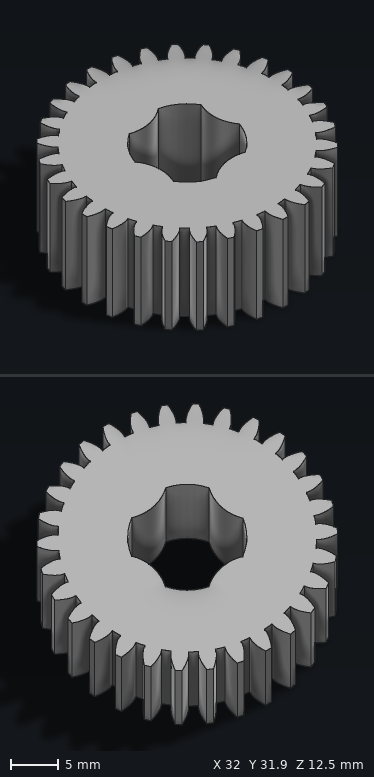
import cadquery as cq
import math

tip_diameter = 32.0
height = 12.5
tooth_count = 30
pressure_angle = math.radians(20)
addendum_factor = 1.0
dedendum_factor = 1.25

bore_radius = 6.35
lobe_count = 4
lobe_clearance = 5.12
lobe_radius = 5.12

module = tip_diameter / (tooth_count + 2 * addendum_factor)
tip_radius = tip_diameter / 2
pitch_radius = module * tooth_count / 2
root_radius = pitch_radius - dedendum_factor * module
base_radius = pitch_radius * math.cos(pressure_angle)
tooth_pitch_angle = 2 * math.pi / tooth_count

flank_steps = 6


def polar(radius, angle):
    return (radius * math.cos(angle), radius * math.sin(angle))


def involute(angle):
    return math.tan(angle) - angle


def tooth_half_angle(radius):
    """Half of the angle a tooth spans at a radius on its involute flank."""
    local_pressure_angle = math.acos(base_radius / radius)
    return tooth_pitch_angle / 4 + involute(pressure_angle) - involute(local_pressure_angle)


def flank_points(center_angle, side):
    """Points up one flank from base to tip; side is -1 (clockwise) or +1."""
    radius_step = (tip_radius - base_radius) / flank_steps
    radii = [base_radius + step * radius_step for step in range(flank_steps + 1)]
    return [polar(radius, center_angle + side * tooth_half_angle(radius)) for radius in radii]


def gear_blank():
    """Spur gear with involute flanks that continue radially below the base circle."""
    root_half_angle = tooth_half_angle(base_radius)
    outline = cq.Workplane("XY").moveTo(*polar(root_radius, -root_half_angle))
    for tooth in range(tooth_count):
        center = tooth * tooth_pitch_angle
        rising = flank_points(center, -1)
        falling = flank_points(center, 1)[::-1]
        next_center = center + tooth_pitch_angle
        outline = (
            outline.lineTo(*rising[0])
            .spline(rising[1:], includeCurrent=True)
            .threePointArc(polar(tip_radius, center), falling[0])
            .spline(falling[1:], includeCurrent=True)
            .lineTo(*polar(root_radius, center + root_half_angle))
            .threePointArc(
                polar(root_radius, center + tooth_pitch_angle / 2),
                polar(root_radius, next_center - root_half_angle),
            )
        )
    return outline.close().extrude(height)


def lobed_bore():
    """Round through bore with convex lobes reaching in along X and Y."""
    bore = cq.Workplane("XY").circle(bore_radius).extrude(height)
    lobes = (
        cq.Workplane("XY")
        .polarArray(lobe_clearance + lobe_radius, 0, 360, lobe_count)
        .circle(lobe_radius)
        .extrude(height)
    )
    return bore.cut(lobes)


result = gear_blank().cut(lobed_bore())